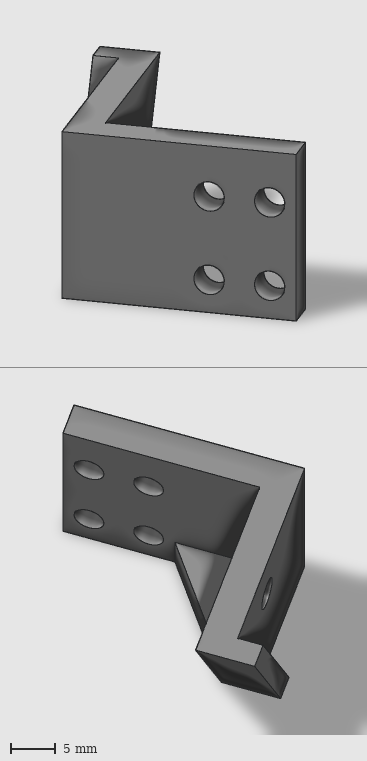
import cadquery as cq

length = 30.2
depth = 27.0
height = 20.0

plate_thickness = 4.0
flange_overhang = 3.0
flange_width = 3.0
slope_run = 9.3
wall_outer_x = flange_overhang
wall_inner_x = wall_outer_x + plate_thickness
bottom_depth = depth - slope_run

gusset_length = 10.0
gusset_thickness = plate_thickness

mount_diameter = 3.5
mount_spacing_x = 7.05
mount_spacing_z = 10.0
mount_edge_x = 3.08
mount_lower_z = 3.93
mount_upper_z = mount_lower_z + mount_spacing_z
wall_hole_diameter = 3.7
wall_hole_y = 13.5


def extrude_along_x(points, start_x, end_x):
    """Extrude a (Y, Z) outline between two X positions."""
    plane = cq.Workplane("YZ", origin=(start_x, 0, 0))
    return plane.polyline(points).close().extrude(end_x - start_x)


def make_front_plate():
    size_x = length - wall_outer_x
    plate = cq.Workplane("XY").box(size_x, plate_thickness, height, centered=False)
    return plate.translate((wall_outer_x, 0, 0))


def make_side_wall():
    outline = [(0, 0), (bottom_depth, 0), (depth, height), (0, height)]
    return extrude_along_x(outline, wall_outer_x, wall_inner_x)


def make_flange():
    outline = [
        (bottom_depth - flange_width, 0),
        (bottom_depth, 0),
        (depth, height),
        (depth - flange_width, height),
    ]
    return extrude_along_x(outline, 0, wall_inner_x)


def make_gusset():
    outline = [
        (wall_inner_x, plate_thickness),
        (wall_inner_x + gusset_length, plate_thickness),
        (wall_inner_x, bottom_depth),
    ]
    return cq.Workplane("XY").polyline(outline).close().extrude(gusset_thickness)


def make_mount_holes():
    right_x = length - mount_edge_x
    centers = [(x, z) for x in (right_x - mount_spacing_x, right_x) for z in (mount_lower_z, mount_upper_z)]
    return cq.Workplane("XZ").pushPoints(centers).circle(mount_diameter / 2).extrude(-plate_thickness)


def make_wall_hole():
    plane = cq.Workplane("YZ", origin=(wall_outer_x, 0, 0))
    return plane.center(wall_hole_y, mount_upper_z).circle(wall_hole_diameter / 2).extrude(plate_thickness)


bracket = make_front_plate().union(make_side_wall()).union(make_flange()).union(make_gusset())
result = bracket.cut(make_mount_holes()).cut(make_wall_hole())